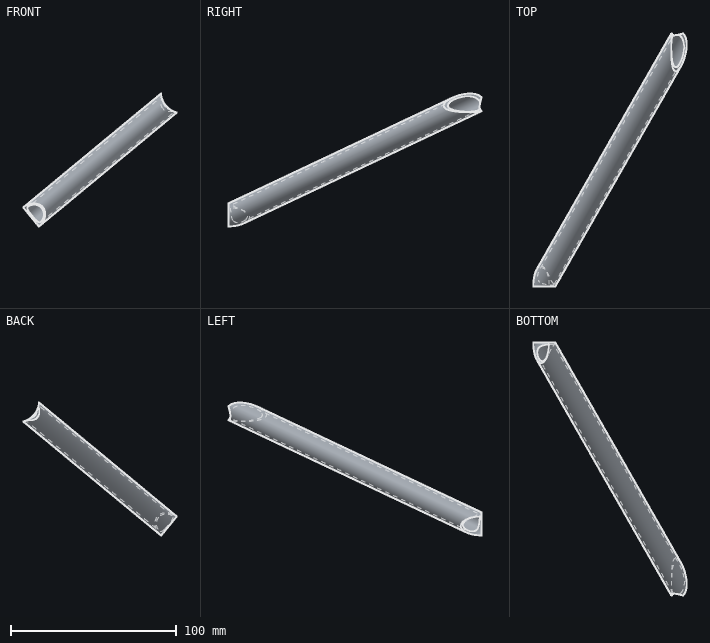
import cadquery as cq
import math

TUBE_RADIUS = 7.5
WALL = 1.5
RISE_ANGLE = 39.5876
LEAN_ANGLE = 36.52
COPE_OFFSET = 108.18
RAIL_RADIUS = 12.5
POST_RADIUS = 12.5
POST_SETBACK = 151.8
CUTTER_REACH = 60.0

rise = math.radians(RISE_ANGLE)
lean = math.radians(LEAN_ANGLE)
side_direction = cq.Vector(math.cos(rise), 0, math.sin(rise))
rail_direction = cq.Vector(0, 1, 0)
tube_direction = rail_direction * math.cos(lean) + side_direction * math.sin(lean)
mirror_direction = rail_direction * math.cos(lean) - side_direction * math.sin(lean)

rail_distance = COPE_OFFSET + math.sqrt(RAIL_RADIUS**2 - TUBE_RADIUS**2)
rail_point = side_direction * rail_distance
rail_node = rail_point + rail_direction * (rail_distance / math.tan(lean))
post_node = rail_point + rail_direction * (POST_SETBACK + POST_RADIUS)
tube_length = rail_distance / math.sin(lean)


def rod(start, direction, radius, length):
    return cq.Workplane(cq.Solid.makeCylinder(radius, length, start, direction))


def centred_rod(middle, direction, radius):
    return rod(middle - direction * CUTTER_REACH, direction, radius, 2 * CUTTER_REACH)


def solid_brace():
    return rod(cq.Vector(0, 0, 0), tube_direction, TUBE_RADIUS, tube_length)


def bore():
    start = tube_direction * -CUTTER_REACH
    return rod(start, tube_direction, TUBE_RADIUS - WALL, tube_length + 2 * CUTTER_REACH)


def lower_cope():
    return centred_rod(cq.Vector(0, 0, 0), mirror_direction, TUBE_RADIUS)


def rail_cope():
    return centred_rod(rail_node, rail_direction, RAIL_RADIUS)


def post_cope():
    return centred_rod(post_node, side_direction, POST_RADIUS)


result = solid_brace()
for cutter in (lower_cope(), rail_cope(), post_cope(), bore()):
    result = result.cut(cutter)